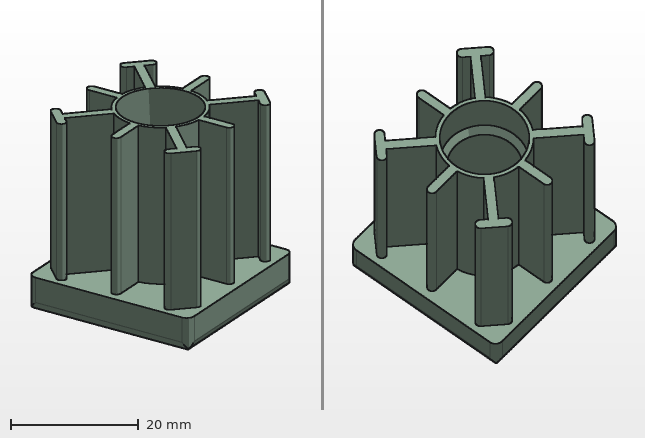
import cadquery as cq

cap_side = 30.0
total_height = 33.0
cap_height = 6.0
corner_radius = 1.4
bottom_edge_radius = 1.75
tube_diameter = 15.35
bore_diameter = 14.0
hole_diameter = 11.85
bore_depth = 6.73
rib_thickness = 1.62
rib_reach = 13.55
flange_distance = 16.3
flange_length = 5.8

insert_height = total_height - cap_height
seat_height = (bore_diameter - hole_diameter) / 2
bore_floor = total_height - bore_depth


def make_cap():
    """Square cap whose rounded bottom edges meet in mitres at the corners."""
    block = cq.Workplane("XY").box(cap_side, cap_side, cap_height, centered=(True, True, False))
    cap = block.edges("|Z").fillet(corner_radius)
    for axis in ("X", "Y"):
        bar = block.faces("<Z").edges(f"|{axis}").fillet(bottom_edge_radius)
        cap = cap.intersect(bar)
    return cap


def make_straight_rib():
    """Radial rib along +X with a fully rounded tip."""
    return (
        cq.Workplane("XY", origin=(0, 0, cap_height))
        .center(rib_reach / 2, 0)
        .slot2D(rib_reach, rib_thickness)
        .extrude(insert_height)
    )


def make_corner_rib():
    """Radial web along +X ending in a round-ended cross flange."""
    base = cq.Workplane("XY", origin=(0, 0, cap_height))
    web = base.center(flange_distance / 2, 0).rect(flange_distance, rib_thickness).extrude(insert_height)
    flange = (
        cq.Workplane("XY", origin=(flange_distance, 0, cap_height))
        .slot2D(flange_length, rib_thickness, 90)
        .extrude(insert_height)
    )
    return web.union(flange)


def make_bore():
    """Stepped through-bore: wide at the top, conical seat, narrow below."""
    bore_radius = bore_diameter / 2
    hole_radius = hole_diameter / 2
    return (
        cq.Workplane("XZ")
        .moveTo(0, 0)
        .lineTo(hole_radius, 0)
        .lineTo(hole_radius, bore_floor - seat_height)
        .lineTo(bore_radius, bore_floor)
        .lineTo(bore_radius, total_height)
        .lineTo(0, total_height)
        .close()
        .revolve(360, (0, 0, 0), (0, 1, 0))
    )


tube = cq.Workplane("XY", origin=(0, 0, cap_height)).circle(tube_diameter / 2).extrude(insert_height)
body = make_cap().union(tube)
for angle in range(0, 360, 90):
    body = body.union(make_straight_rib().rotate((0, 0, 0), (0, 0, 1), angle))
    body = body.union(make_corner_rib().rotate((0, 0, 0), (0, 0, 1), angle + 45))

result = body.cut(make_bore())